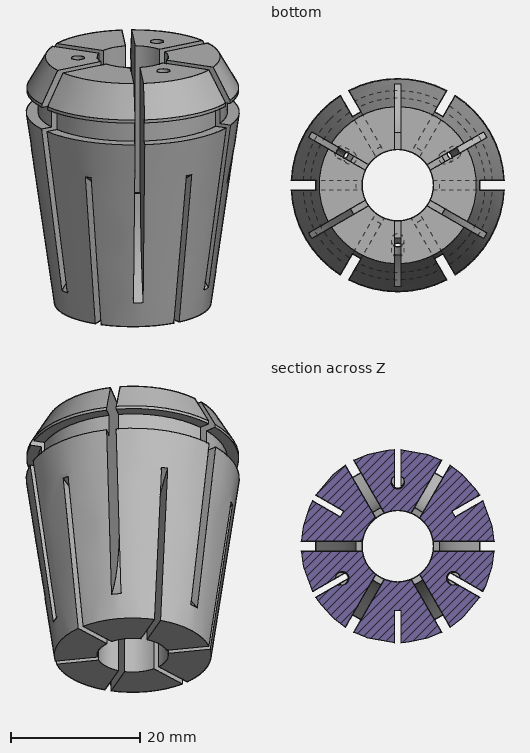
import cadquery as cq
import math

total_height = 40.0
body_radius = 16.5
body_height = 31.0
body_half_angle = 8.0
body_bottom_radius = body_radius - body_height * math.tan(math.radians(body_half_angle))
bore_radius = 5.5

groove_radius = 14.65
rim_bottom = 34.5
rim_top = 35.0
rim_radius = 16.4
head_angle = 30.0
head_top_radius = rim_radius - (total_height - rim_top) * math.tan(math.radians(head_angle))

slot_count = 6
slot_pitch = 360.0 / slot_count
clearance = 2.0
slot_outer_reach = body_radius + clearance

top_slot_width = 1.5
top_arc_radius = 25.0
top_arc_center = (31.46, 20.6)
top_ledge_height = 19.85
top_ledge_slope = 11.7
top_arc_end_angle = 225.0

bottom_slot_width = 1.0
bottom_arc_radius = 17.5
bottom_arc_center = (24.06, 9.6)
bottom_slot_inner_height = 16.9

hole_count = 3
hole_radius = 1.0
hole_circle_radius = 8.5
hole_tilt = 4.0
hole_end_height = bottom_slot_inner_height
first_hole_angle = 90.0


def arc_point(center, radius, angle):
    """Point on a circle in the radial (r, z) plane, angle in degrees from +r."""
    a = math.radians(angle)
    return (center[0] + radius * math.cos(a), center[1] + radius * math.sin(a))


def make_body():
    """Revolved collet: tapered body, groove, head cone and straight bore."""
    return (
        cq.Workplane("XZ")
        .moveTo(bore_radius, 0)
        .lineTo(body_bottom_radius, 0)
        .lineTo(body_radius, body_height)
        .lineTo(groove_radius, body_height)
        .lineTo(groove_radius, rim_bottom)
        .lineTo(rim_radius, rim_bottom)
        .lineTo(rim_radius, rim_top)
        .lineTo(head_top_radius, total_height)
        .lineTo(bore_radius, total_height)
        .close()
        .revolve(360, (0, 0, 0), (0, 1, 0))
    )


def make_top_slot():
    """Cutter for one slot open at the top, lying along +X."""
    ledge_drop = top_arc_center[1] - top_ledge_height
    ledge_angle = 180 + math.degrees(math.asin(ledge_drop / top_arc_radius))
    ledge = arc_point(top_arc_center, top_arc_radius, ledge_angle)
    middle = arc_point(top_arc_center, top_arc_radius, (ledge_angle + top_arc_end_angle) / 2)
    end = arc_point(top_arc_center, top_arc_radius, top_arc_end_angle)
    axis_height = ledge[1] - ledge[0] * math.tan(math.radians(top_ledge_slope))
    return (
        cq.Workplane("XZ")
        .moveTo(0, axis_height)
        .lineTo(*ledge)
        .threePointArc(middle, end)
        .lineTo(slot_outer_reach, end[1])
        .lineTo(slot_outer_reach, total_height + clearance)
        .lineTo(0, total_height + clearance)
        .close()
        .extrude(top_slot_width / 2, both=True)
    )


def make_bottom_slot():
    """Cutter for one slot open at the bottom, lying along +X."""
    inner_rise = bottom_slot_inner_height - bottom_arc_center[1]
    inner_angle = 180 - math.degrees(math.asin(inner_rise / bottom_arc_radius))
    outer_run = bottom_arc_center[0] - slot_outer_reach
    outer_angle = 180 - math.degrees(math.acos(outer_run / bottom_arc_radius))
    inner = arc_point(bottom_arc_center, bottom_arc_radius, inner_angle)
    middle = arc_point(bottom_arc_center, bottom_arc_radius, (inner_angle + outer_angle) / 2)
    outer = arc_point(bottom_arc_center, bottom_arc_radius, outer_angle)
    return (
        cq.Workplane("XZ")
        .moveTo(0, bottom_slot_inner_height)
        .lineTo(*inner)
        .threePointArc(middle, outer)
        .lineTo(slot_outer_reach, -clearance)
        .lineTo(0, -clearance)
        .close()
        .extrude(bottom_slot_width / 2, both=True)
    )


def make_hole():
    """Cutter for one coolant hole, leaning outward as it goes down, above +X."""
    tilt = math.radians(hole_tilt)
    axis = cq.Vector(math.sin(tilt), 0, -math.cos(tilt))
    mouth = cq.Vector(hole_circle_radius, 0, total_height)
    length = (total_height - hole_end_height) / math.cos(tilt)
    drill = cq.Solid.makeCylinder(hole_radius, length + clearance, mouth - axis * clearance, axis)
    return cq.Workplane(obj=drill)


def cut_around(part, cutter, count, first_angle):
    """Cut equally spaced copies of the cutter around the Z axis."""
    for i in range(count):
        angle = first_angle + i * 360.0 / count
        part = part.cut(cutter.rotate((0, 0, 0), (0, 0, 1), angle))
    return part


result = make_body()
result = cut_around(result, make_top_slot(), slot_count, 0)
result = cut_around(result, make_bottom_slot(), slot_count, slot_pitch / 2)
result = cut_around(result, make_hole(), hole_count, first_hole_angle)